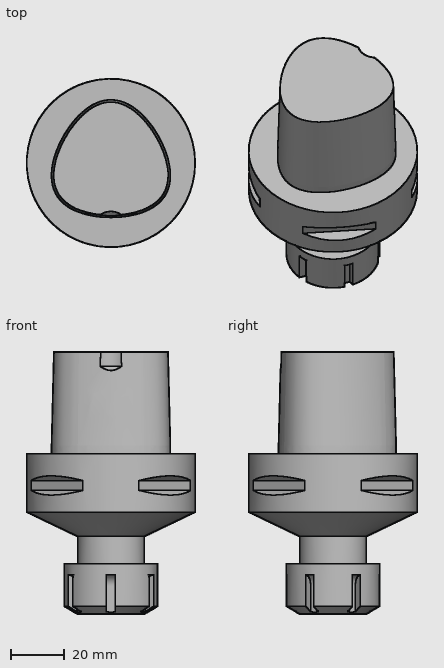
import cadquery as cq
import math

nut_chamfer_top = 2.9
nut_top = 18.9
neck_top = 29.0
flange_bottom = 38.1
flange_top = 60.0
taper_start = 62.9
shank_top = 98.0

flange_radius = 63.0 / 2
neck_radius = 25.0 / 2
nut_radius = 35.0 / 2
nut_tip_radius = neck_radius

shank_radius = 22.0
lobe_offset = 1.62
taper_ratio = 20.0
shank_top_radius = shank_radius - (shank_top - taper_start) / (2 * taper_ratio)
lobe_count = 3
points_per_edge = 7

notch_radius = 13.0 / 2
notch_axis_y = -24.6
notch_wall_bottom = 92.6
notch_cone_height = notch_radius

groove_count = 4
groove_floor_distance = 28.4
groove_center_z = 48.07
groove_floor_height = 3.6
groove_flank_angle = 30.0

slot_count = 6
slot_width = 3.3
slot_floor_radius = 13.8
slot_runout_start = 10.8
slot_runout_radius = 3.97

clearance = 2.0


def turned_body():
    """Flange, cone, neck and collet nut as one revolved profile."""
    profile = [
        (0, 0),
        (nut_tip_radius, 0),
        (nut_radius, nut_chamfer_top),
        (nut_radius, nut_top),
        (neck_radius, nut_top),
        (neck_radius, neck_top),
        (flange_radius, flange_bottom),
        (flange_radius, flange_top),
        (0, flange_top),
    ]
    return cq.Workplane("XZ").polyline(profile).close().revolve(360, (0, 0), (0, 1))


def polygon_point(mean_radius, angle, z):
    """Point on a hypotrochoid with one lobe toward +Y."""
    lobe_angle = math.pi / 2 - 2 * (angle - math.pi / 2)
    x = mean_radius * math.cos(angle) + lobe_offset * math.cos(lobe_angle)
    y = mean_radius * math.sin(angle) + lobe_offset * math.sin(lobe_angle)
    return cq.Vector(x, y, z)


def polygon_tangent(mean_radius, angle):
    """Derivative of the hypotrochoid with respect to its angle."""
    lobe_angle = math.pi / 2 - 2 * (angle - math.pi / 2)
    dx = -mean_radius * math.sin(angle) + 2 * lobe_offset * math.sin(lobe_angle)
    dy = mean_radius * math.cos(angle) - 2 * lobe_offset * math.cos(lobe_angle)
    return cq.Vector(dx, dy, 0)


def polygon_wire(mean_radius, z):
    """Closed section with one edge per lobe and one per flank."""
    edge_count = 2 * lobe_count
    edge_angle = 2 * math.pi / edge_count
    edges = []
    for edge in range(edge_count):
        angles = [edge_angle * (edge + i / (points_per_edge - 1)) for i in range(points_per_edge)]
        points = [polygon_point(mean_radius, angle, z) for angle in angles]
        tangents = [polygon_tangent(mean_radius, angle) for angle in (angles[0], angles[-1])]
        edges.append(cq.Edge.makeSpline(points, tangents=tangents))
    return cq.Wire.assembleEdges(edges)


def polygon_shank():
    """Short straight base followed by the tapered shank."""
    base_wire = polygon_wire(shank_radius, flange_top)
    base_height = cq.Vector(0, 0, taper_start - flange_top)
    base = cq.Solid.extrudeLinear(base_wire, [], base_height)
    sections = [
        polygon_wire(shank_radius, taper_start),
        polygon_wire(shank_top_radius, shank_top),
    ]
    taper = cq.Solid.makeLoft(sections, True)
    return cq.Workplane(base).union(cq.Workplane(taper))


def orientation_notch():
    """Drill-shaped cutter on the -Y side of the shank end."""
    profile = [
        (0, notch_wall_bottom - notch_cone_height),
        (notch_radius, notch_wall_bottom),
        (notch_radius, shank_top + clearance),
        (0, shank_top + clearance),
    ]
    cutter = cq.Workplane("XZ").polyline(profile).close().revolve(360, (0, 0), (0, 1))
    return cutter.translate((0, notch_axis_y, 0))


def gripper_groove():
    """Straight trapezoidal groove on the +X side of the flange."""
    outer_distance = flange_radius + clearance
    depth = outer_distance - groove_floor_distance
    floor_half = groove_floor_height / 2
    mouth_half = floor_half + depth * math.tan(math.radians(groove_flank_angle))
    profile = [
        (groove_floor_distance, groove_center_z - floor_half),
        (outer_distance, groove_center_z - mouth_half),
        (outer_distance, groove_center_z + mouth_half),
        (groove_floor_distance, groove_center_z + floor_half),
    ]
    return cq.Workplane("XZ").polyline(profile).close().extrude(flange_radius, both=True)


def wrench_slot():
    """Slot on the +X side of the nut, its floor curving outward at the top."""
    runout_center_x = slot_floor_radius + slot_runout_radius
    slot_top = slot_runout_start + slot_runout_radius
    diagonal = slot_runout_radius * math.sqrt(0.5)
    return (
        cq.Workplane("XZ")
        .moveTo(slot_floor_radius, -clearance)
        .lineTo(slot_floor_radius, slot_runout_start)
        .threePointArc(
            (runout_center_x - diagonal, slot_runout_start + diagonal),
            (runout_center_x, slot_top),
        )
        .lineTo(nut_radius + clearance, slot_top)
        .lineTo(nut_radius + clearance, -clearance)
        .close()
        .extrude(slot_width / 2, both=True)
    )


def cut_around(body, cutter, count, first_angle):
    """Cut evenly spaced copies of a cutter around the Z axis."""
    for i in range(count):
        angle = first_angle + i * 360 / count
        body = body.cut(cutter.rotate((0, 0, 0), (0, 0, 1), angle))
    return body


result = turned_body().union(polygon_shank())
result = result.cut(orientation_notch())
result = cut_around(result, gripper_groove(), groove_count, first_angle=45)
result = cut_around(result, wrench_slot(), slot_count, first_angle=-90)